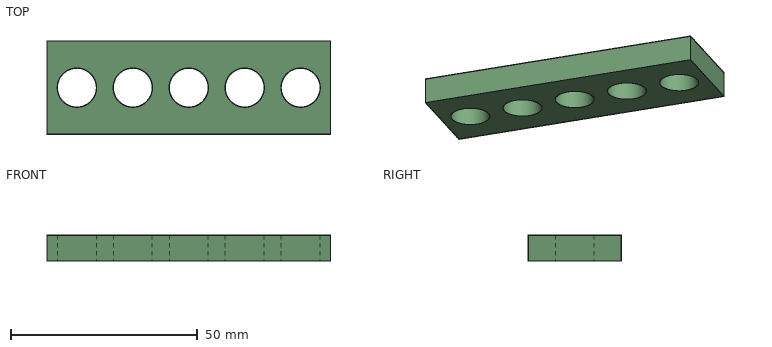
import cadquery as cq

length = 76.0
width = 25.0
thickness = 7.0

hole_count = 5
hole_diameter = 10.4
hole_pitch = 15.0

plate = cq.Workplane("XY").box(length, width, thickness)

result = (
    plate.faces(">Z")
    .workplane()
    .rarray(hole_pitch, 0.75, hole_count, 1)
    .hole(hole_diameter)
)